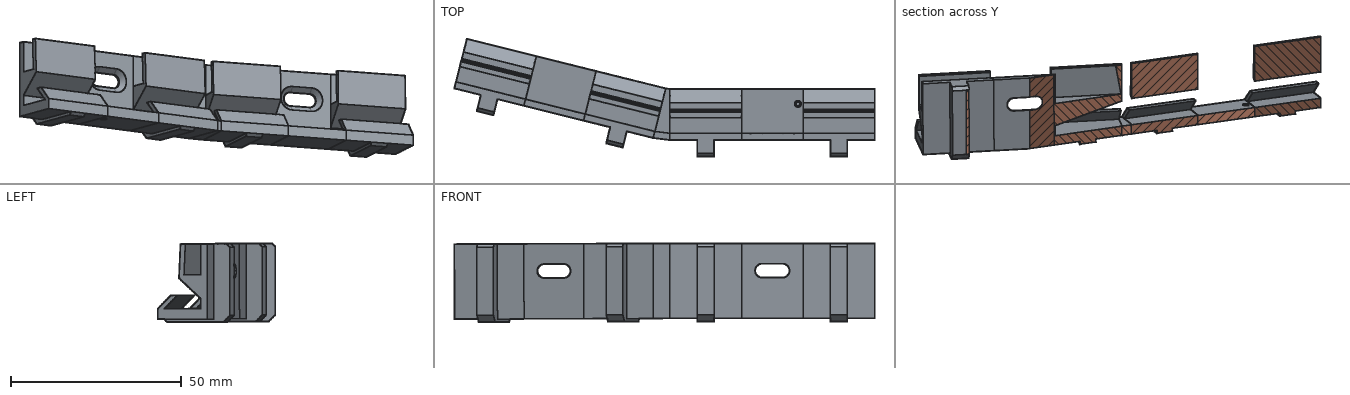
import cadquery as cq
import math

clip_length = 21.0
label_length = 18.0
arm_length = 2 * clip_length + label_length

depth = 15.0
height = 22.0
wall = 2.0
floor = 3.0

lip_rise = 4.0
lip_width = 2.0
channel_floor = 13.0
channel_root = 6.0
channel_knee = 12.0
leaf_thickness = 1.5
leaf_top = 8.1
leaf_bottom = 8.55

rib_width = 5.0
rib_depth = 4.86
foot = 0.9
rib_top_chamfer = 1.0
rib_bottom_chamfer = 2.0

slot_length = 10.0
slot_height = 4.0
slot_level = 14.0
slot_land = 0.5
countersink_angle = 45.0

mark_x = 16.5
mark_depth = 10.6
mark_hole_radius = 0.9
mark_disc_radius = 0.65

bend = 14.0
droop = 0.2
joint_width = 4.79


def extrude_along_x(points, start, length):
    """Extrude a (depth, height) outline along the arm."""
    return cq.Workplane("YZ", origin=(start, 0, 0)).polyline(points).close().extrude(length)


l_outline = [(0, 0), (depth, 0), (depth, floor), (wall, floor), (wall, height), (0, height)]


def make_clip(start):
    lip_top = floor + lip_rise
    leaf_slope = (leaf_bottom - leaf_top) / (height - channel_knee)
    leaf_at_channel_floor = leaf_top + leaf_slope * (height - channel_floor)
    outline = [
        (0, 0),
        (depth, 0),
        (depth, floor),
        (depth - lip_rise, lip_top),
        (depth - lip_rise - lip_width, lip_top),
        (depth - lip_width, floor),
        (wall, floor),
        (wall, channel_root),
        (leaf_bottom, channel_knee),
        (leaf_top, height),
        (leaf_top - leaf_thickness, height),
        (leaf_at_channel_floor - leaf_thickness, channel_floor),
        (wall, channel_floor),
        (wall, height),
        (0, height),
    ]
    rib_outline = [
        (0, height),
        (rib_top_chamfer - rib_depth, height),
        (-rib_depth, height - rib_top_chamfer),
        (-rib_depth, rib_bottom_chamfer - foot),
        (rib_bottom_chamfer - rib_depth, -foot),
        (depth - foot, -foot),
        (depth, 0),
        (0, 0),
    ]
    body = extrude_along_x(outline, start, clip_length)
    rib = extrude_along_x(rib_outline, start + (clip_length - rib_width) / 2, rib_width)
    return body.union(rib)


def make_label_plate(start):
    slot_center = start + label_length / 2
    slot = (
        cq.Workplane("XZ", origin=(slot_center, 0, slot_level))
        .slot2D(slot_length, slot_height)
        .extrude(-slot_land)
    )
    countersink = (
        cq.Workplane("XZ", origin=(slot_center, slot_land, slot_level))
        .slot2D(slot_length, slot_height)
        .extrude(-(wall - slot_land), taper=-countersink_angle)
    )
    return extrude_along_x(l_outline, start, label_length).cut(slot).cut(countersink)


def mark_cylinder(radius):
    return cq.Workplane("XY", origin=(clip_length + mark_x, mark_depth, 0)).circle(radius).extrude(floor)


def place_left(body):
    """Move a body from the right arm's position to the left arm."""
    return (
        body.translate((-arm_length, 0, 0))
        .rotate((0, 0, 0), (0, 1, 0), -droop)
        .rotate((0, 0, 0), (0, 0, 1), -bend)
        .translate((-joint_width, joint_width * math.tan(math.radians(bend / 2)), 0))
    )


def make_joint():
    """Loft between the facing end faces of the two arms."""
    right_end = cq.Wire.makePolygon([cq.Vector(0, y, z) for y, z in l_outline], close=True)
    left_end = place_left(cq.Workplane(obj=right_end.translate(cq.Vector(arm_length, 0, 0)))).val()
    return cq.Workplane(obj=cq.Solid.makeLoft([left_end, right_end], True))


clip_starts = [0, clip_length + label_length]
right_clips = [make_clip(start) for start in clip_starts]
left_clips = [place_left(make_clip(start)) for start in clip_starts]
right_label = make_label_plate(clip_length).cut(mark_cylinder(mark_hole_radius))
left_label = place_left(make_label_plate(clip_length))
joint = make_joint()
mark_disc = mark_cylinder(mark_disc_radius)

bodies = [*left_clips, left_label, joint, *right_clips, right_label, mark_disc]
result = cq.Compound.makeCompound([body.solids().val() for body in bodies])